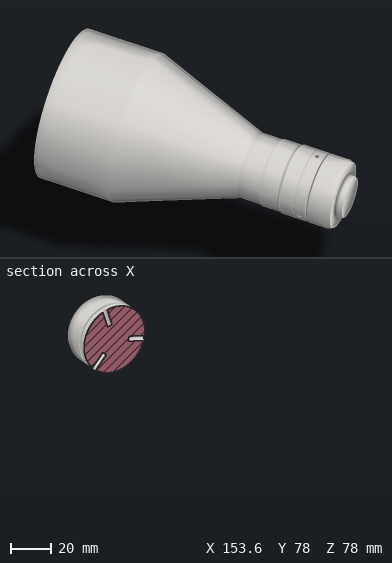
import cadquery as cq

total_length = 153.6

head_radius = 39.0
neck_radius = 17.0
collar_radius = 17.5
relief_root_radius = 16.7
ring_radius = 18.0
groove_floor_radius = 13.5
spigot_radius = 10.9

head_end = 40.1
cone_end = 100.6
collar_start = 112.1
collar_end = 121.3
relief_root = 122.0
ring_start = 123.2
seam_start = 130.7
wide_groove_start = 137.0
wide_groove_end = 138.0
shoulder_station = 149.9

edge_break = 0.5
face_break = 0.3
cone_break_height = 0.2
shoulder_break_length = 2.3
shoulder_break_height = 0.9
spigot_break_length = 0.9

seam_width = 0.5
seam_depth = 0.5

screw_count = 3
screw_station = 133.6
screw_diameter = 2.5
screw_depth = 9.2
first_screw_angle = -18.0


def turned_body():
    """Solid of revolution: head, cone, neck, collar, grooved rings and spigot."""
    seam_end = seam_start + seam_width
    seam_floor_radius = ring_radius - seam_depth
    profile = [
        (0, 0),
        (0, head_radius - face_break),
        (face_break, head_radius),
        (head_end, head_radius),
        (head_end + edge_break, head_radius - cone_break_height),
        (cone_end, neck_radius + cone_break_height),
        (cone_end + edge_break, neck_radius),
        (collar_start, neck_radius),
        (collar_start + edge_break, collar_radius),
        (collar_end, collar_radius),
        (relief_root, relief_root_radius),
        (ring_start, ring_radius),
        (seam_start, ring_radius),
        (seam_start, seam_floor_radius),
        (seam_end, seam_floor_radius),
        (seam_end, ring_radius),
        (wide_groove_start - edge_break, ring_radius),
        (wide_groove_start, ring_radius - edge_break),
        (wide_groove_start, groove_floor_radius),
        (wide_groove_end, groove_floor_radius),
        (wide_groove_end, ring_radius),
        (shoulder_station - shoulder_break_length, ring_radius),
        (shoulder_station, ring_radius - shoulder_break_height),
        (shoulder_station, spigot_radius),
        (total_length - spigot_break_length, spigot_radius),
        (total_length, spigot_radius - edge_break),
        (total_length, 0),
    ]
    return cq.Workplane("XZ").polyline(profile).close().revolve(360, (0, 0, 0), (1, 0, 0))


def screw_hole(angle):
    """Cutter for one flat-bottomed radial hole, turned about X from +Z."""
    hole_floor = ring_radius - screw_depth
    return (
        cq.Workplane("XY", origin=(screw_station, 0, hole_floor))
        .circle(screw_diameter / 2)
        .extrude(2 * screw_depth)
        .rotate((0, 0, 0), (1, 0, 0), angle)
    )


result = turned_body()
for index in range(screw_count):
    result = result.cut(screw_hole(first_screw_angle + index * 360 / screw_count))